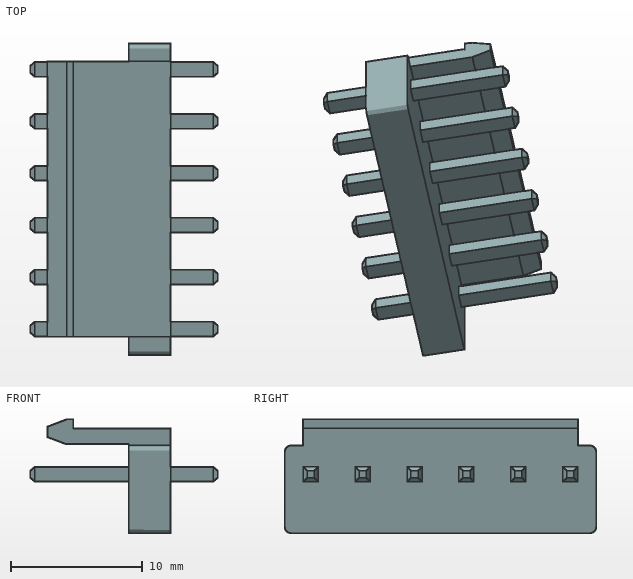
import cadquery as cq

PIN_COUNT = 6
PITCH = 3.96

WALL_THICKNESS = 3.2
WALL_WIDTH = PIN_COUNT * PITCH
WALL_HEIGHT = 6.7
WALL_CORNER_RADIUS = 0.5

PIN_SIZE = 1.14
PIN_TIP_SIZE = 0.54
PIN_TAPER_LENGTH = 0.35
PIN_AXIS_Z = 4.5
PIN_REAR_REACH = 3.6
PIN_LENGTH = 14.3

ARM_END_MARGIN = 0.6
ARM_WIDTH = (PIN_COUNT - 1) * PITCH + 2 * ARM_END_MARGIN
ARM_LENGTH = 9.4
ARM_TOP_Z = 8.0
ARM_THICKNESS = 1.2

HOOK_HEIGHT = 0.7
HOOK_LENGTH = 2.0
HOOK_FLAT_LENGTH = 0.5
HOOK_UNDERCUT_LENGTH = 1.4
NOSE_BOTTOM_Z = 7.33
NOSE_TOP_Z = 8.13


def make_wall():
    """Upright plate with its four X-direction edges rounded."""
    plate = cq.Workplane("XY").box(
        WALL_THICKNESS, WALL_WIDTH, WALL_HEIGHT, centered=(False, True, False)
    )
    return plate.translate((-WALL_THICKNESS, 0, 0)).edges("|X").fillet(WALL_CORNER_RADIUS)


def make_locking_arm():
    """Arm and hook profile, extruded along Y, with its root sunk into the wall."""
    nose_x = -ARM_LENGTH
    hook_back_x = nose_x + HOOK_LENGTH
    hook_top_z = ARM_TOP_Z + HOOK_HEIGHT
    arm_bottom_z = ARM_TOP_Z - ARM_THICKNESS
    root_bottom_z = WALL_HEIGHT - WALL_CORNER_RADIUS
    profile = [
        (0, root_bottom_z),
        (0, ARM_TOP_Z),
        (hook_back_x, ARM_TOP_Z),
        (hook_back_x, hook_top_z),
        (hook_back_x - HOOK_FLAT_LENGTH, hook_top_z),
        (nose_x, NOSE_TOP_Z),
        (nose_x, NOSE_BOTTOM_Z),
        (nose_x + HOOK_UNDERCUT_LENGTH, arm_bottom_z),
        (-WALL_THICKNESS, arm_bottom_z),
        (-WALL_THICKNESS, root_bottom_z),
    ]
    return cq.Workplane("XZ").polyline(profile).close().extrude(ARM_WIDTH / 2, both=True)


def make_pin_tip(shank_end_x, outward):
    """Tapered end of a pin on the X axis, pointing along outward (+1 or -1)."""
    return (
        cq.Workplane("YZ", origin=(shank_end_x, 0, 0))
        .rect(PIN_SIZE, PIN_SIZE)
        .workplane(offset=outward * PIN_TAPER_LENGTH)
        .rect(PIN_TIP_SIZE, PIN_TIP_SIZE)
        .loft(ruled=True)
    )


def make_pin():
    """One pin on the X axis, tapered at both ends."""
    shank_rear_x = PIN_REAR_REACH - PIN_TAPER_LENGTH
    shank_front_x = PIN_REAR_REACH - PIN_LENGTH + PIN_TAPER_LENGTH
    shank = (
        cq.Workplane("YZ", origin=(shank_front_x, 0, 0))
        .rect(PIN_SIZE, PIN_SIZE)
        .extrude(shank_rear_x - shank_front_x)
    )
    return shank.union(make_pin_tip(shank_rear_x, 1)).union(make_pin_tip(shank_front_x, -1))


result = make_wall().union(make_locking_arm())
pin = make_pin()
for index in range(PIN_COUNT):
    pin_y = (index - (PIN_COUNT - 1) / 2) * PITCH
    result = result.union(pin.translate((0, pin_y, PIN_AXIS_Z)))